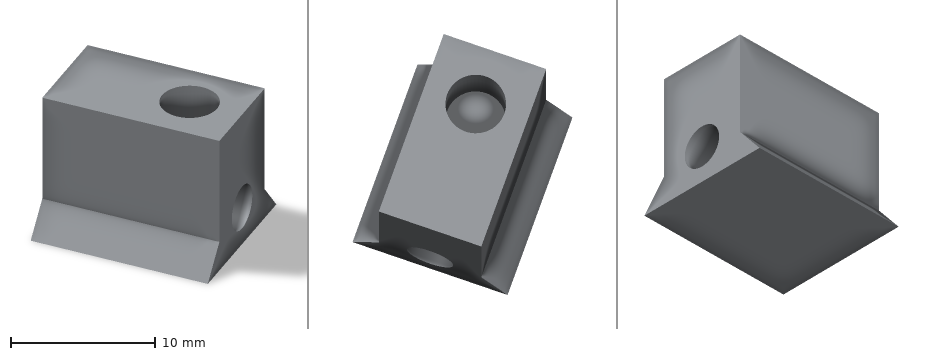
import cadquery as cq

length = 13.5
base_width = 11.4
height = 10.6

body_width = 7.53
foot_height = 2.34

cross_hole_diameter = 3.4
cross_hole_height = 3.0

top_hole_diameter = 4.2
top_hole_x = 2.75
top_hole_depth = 4.45


def make_block():
    """Extrude the dovetail-footed end profile along X."""
    half_base = base_width / 2
    half_body = body_width / 2
    profile = [
        (-half_base, 0),
        (half_base, 0),
        (half_body, foot_height),
        (half_body, height),
        (-half_body, height),
        (-half_body, foot_height),
    ]
    return cq.Workplane("YZ").polyline(profile).close().extrude(length / 2, both=True)


def make_cross_hole():
    """Cylinder running the full length of the block."""
    return (
        cq.Workplane("YZ")
        .center(0, cross_hole_height)
        .circle(cross_hole_diameter / 2)
        .extrude(length / 2, both=True)
    )


def make_top_hole():
    """Cylinder sunk from the top face, stopping above the cross hole."""
    return (
        cq.Workplane("XY")
        .workplane(offset=height)
        .center(top_hole_x, 0)
        .circle(top_hole_diameter / 2)
        .extrude(-top_hole_depth)
    )


result = make_block().cut(make_cross_hole()).cut(make_top_hole())